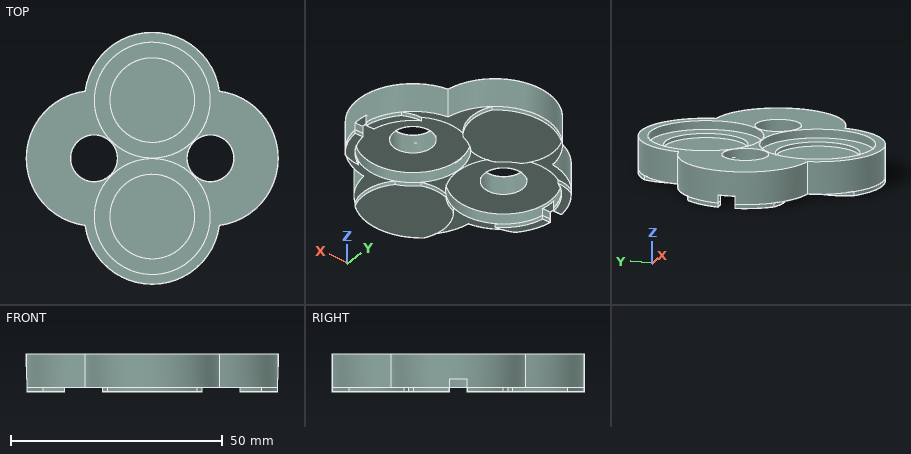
import cadquery as cq

total_height = 9.0
overall_span = 59.45
lobe_offset = 13.75
lobe_radius = overall_span / 2 - lobe_offset

pad_thickness = 1.0
pad_radius = 11.8
pad_offset = 20.5

pocket_radius = 13.7
top_pocket_depth = 2.15
recess_diameter = 20.0
recess_depth = 1.0
hole_diameter = 11.0
hole_depth = 5.1

slot_width = 4.15
slot_top = 3.0

top_pocket_floor = total_height - top_pocket_depth
lower_pocket_ceiling = total_height - hole_depth
x_lobe_centers = [(-lobe_offset, 0), (lobe_offset, 0)]
y_lobe_centers = [(0, -lobe_offset), (0, lobe_offset)]


def discs(centers, radius, bottom, top):
    """Upright cylinders between two heights, merged where they overlap."""
    cylinders = [
        cq.Workplane("XY", origin=(x, y, bottom)).circle(radius).extrude(top - bottom)
        for x, y in centers
    ]
    merged = cylinders[0]
    for cylinder in cylinders[1:]:
        merged = merged.union(cylinder)
    return merged


def clover(bottom, top):
    """Four overlapping round lobes."""
    x_lobes = discs(x_lobe_centers, lobe_radius, bottom, top)
    y_lobes = discs(y_lobe_centers, lobe_radius, bottom, top)
    return x_lobes.union(y_lobes)


def lower_pockets():
    return discs(x_lobe_centers, pocket_radius, 0, lower_pocket_ceiling)


def side_slots():
    """One radial slot on each X side, ending at the centre of its lobe."""
    slot_centers = [(side * (lobe_offset + lobe_radius / 2), 0) for side in (-1, 1)]
    return (
        cq.Workplane("XY")
        .pushPoints(slot_centers)
        .rect(lobe_radius, slot_width)
        .extrude(slot_top)
    )


def make_housing():
    top_pockets = discs(y_lobe_centers, pocket_radius, top_pocket_floor, total_height)
    recesses = discs(
        y_lobe_centers, recess_diameter / 2, top_pocket_floor - recess_depth, top_pocket_floor
    )
    holes = discs(x_lobe_centers, hole_diameter / 2, 0, total_height)
    return (
        clover(pad_thickness, total_height)
        .cut(top_pockets)
        .cut(recesses)
        .cut(holes)
        .cut(lower_pockets())
        .cut(side_slots())
    )


def make_pads(center):
    """Round pad trimmed to the lobe outline, clear of the lower pockets and slots."""
    return (
        discs([center], pad_radius, 0, pad_thickness)
        .intersect(clover(0, pad_thickness))
        .cut(lower_pockets())
        .cut(side_slots())
    )


housing = make_housing()

pads = []
for pad_center in [(-pad_offset, 0), (pad_offset, 0), (0, -pad_offset), (0, pad_offset)]:
    pads.extend(make_pads(pad_center).solids().vals())

result = cq.Compound.makeCompound([*housing.solids().vals(), *pads])